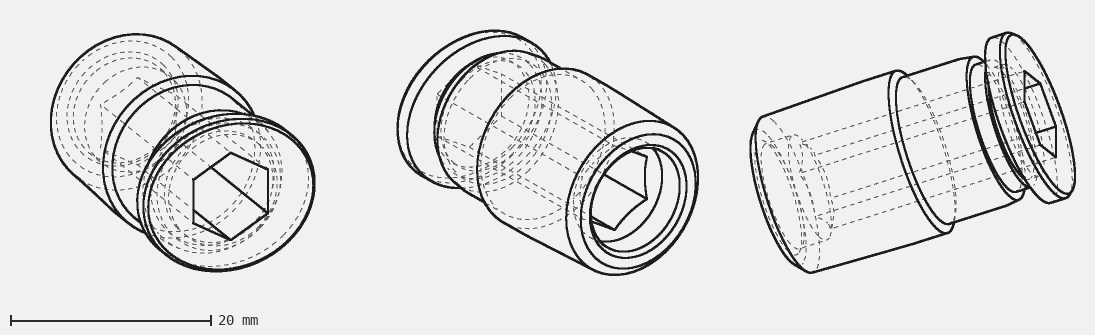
import cadquery as cq
import math

total_length = 28.4
front_chamfer_end = 1.02
taper_end = 11.98
sleeve_end = 15.55
body_start = 16.02
body_taper_start = 22.15
body_end = 23.6
collar_end = 25.25
flange_start = 26.33

front_face_radius = 7.13
taper_start_radius = 8.18
sleeve_diameter = 17.0
sleeve_radius = sleeve_diameter / 2
body_radius = 7.7
body_end_radius = 7.5
collar_radius = 6.67
neck_radius = 5.85

flange_width = 18.5
flange_height = 15.95
flange_chamfer_length = 0.45
flange_chamfer_inset = 0.35

bore_mouth_radius = 6.0
bore_radius = 5.5
bore_mouth_depth = 0.48
bore_depth = 3.45
hexagon_across_flats = 8.0
hexagon_across_corners = hexagon_across_flats / math.cos(math.radians(30))
cone_half_angle = 59.0
cone_length = bore_radius / math.tan(math.radians(cone_half_angle))


def revolve_about_x(profile):
    """Close an (x, radius) outline and turn it once around the X axis."""
    return profile.close().revolve(360, (0, 0, 0), (1, 0, 0))


def make_sleeve_and_body():
    """Tapered sleeve, body, collar and neck as one turned solid."""
    profile = (
        cq.Workplane("XY")
        .lineTo(0, front_face_radius)
        .lineTo(front_chamfer_end, taper_start_radius)
        .lineTo(taper_end, sleeve_radius)
        .lineTo(sleeve_end, sleeve_radius)
        .lineTo(body_start, body_radius)
        .lineTo(body_taper_start, body_radius)
        .lineTo(body_end, body_end_radius)
        .lineTo(body_end, collar_radius)
        .lineTo(collar_end, collar_radius)
        .lineTo(collar_end, neck_radius)
        .lineTo(flange_start, neck_radius)
        .lineTo(flange_start, 0)
    )
    return revolve_about_x(profile)


def make_flange():
    """Elliptical end flange with its rear edge chamfered."""
    return (
        cq.Workplane("YZ", origin=(flange_start, 0, 0))
        .ellipse(flange_width / 2, flange_height / 2)
        .extrude(total_length - flange_start)
        .faces(">X")
        .chamfer(flange_chamfer_length, flange_chamfer_inset)
    )


def make_bore():
    """Countersunk round bore ending in a drill-point cone."""
    profile = (
        cq.Workplane("XY")
        .lineTo(0, bore_mouth_radius)
        .lineTo(bore_mouth_depth, bore_radius)
        .lineTo(bore_depth, bore_radius)
        .lineTo(bore_depth + cone_length, 0)
    )
    return revolve_about_x(profile)


def make_hexagonal_passage():
    """Hexagon through the whole length, with corners at top and bottom."""
    return (
        cq.Workplane("YZ")
        .transformed(rotate=(0, 0, 90))
        .polygon(6, hexagon_across_corners)
        .extrude(total_length)
    )


result = (
    make_sleeve_and_body()
    .union(make_flange())
    .cut(make_bore())
    .cut(make_hexagonal_passage())
)